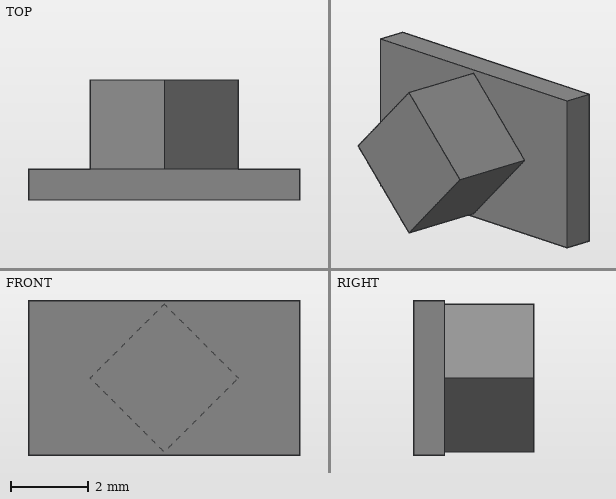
import cadquery as cq

plate_width = 7.0
plate_height = 4.0
plate_thickness = 0.8

block_side = 2.7
block_length = 2.3
block_turn = 45.0


def make_plate():
    """Slab centred on X and Z, with its front face at Y = 0."""
    return cq.Workplane("XY").box(
        plate_width, plate_thickness, plate_height, centered=(True, False, True)
    )


def make_block():
    """Square bar on the plate's centre, running from its back face toward +Y."""
    upright_bar = cq.Workplane("XY").box(
        block_side, block_length, block_side, centered=(True, False, True)
    )
    turned_bar = upright_bar.rotate((0, 0, 0), (0, 1, 0), block_turn)
    return turned_bar.translate((0, plate_thickness, 0))


plate = make_plate()
block = make_block()

result = cq.Compound.makeCompound([plate.val(), block.val()])